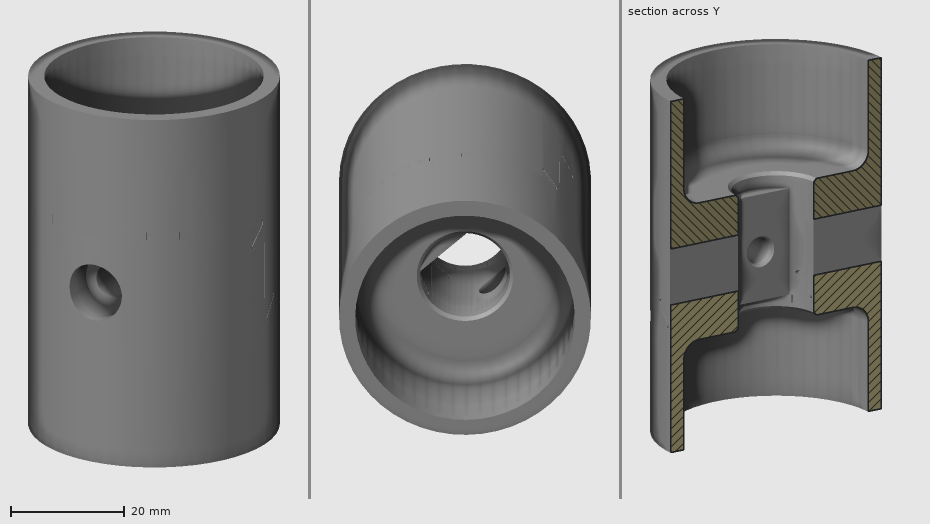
import cadquery as cq
import math

LENGTH = 65.5
OUTER_RADIUS = 44.45 / 2
MID_HEIGHT = LENGTH / 2

SOCKET_RADIUS = 19.4
SOCKET_DEPTH = 20.0
SOCKET_FILLET = 3.2
SOCKET_FLOOR = LENGTH - SOCKET_DEPTH

BORE_RADIUS = 7.9
BORE_CHAMFER = 0.6
FLAT_OFFSET = 5.05

STEP_HEIGHT = 9.9
SHOULDER_TOP = MID_HEIGHT + STEP_HEIGHT
SHOULDER_BOTTOM = MID_HEIGHT - STEP_HEIGHT
HOOK_SIZE = 4.7
JOINT_GAP = 0.1
TIP_FILLET = 0.6
ROOT_FILLET = 0.45

TAB_HEIGHT = 1.65
TAB_WIDTH = 5.6
TAB_ANGLE = 57.5
SLOT_CLEARANCE = 0.1

SCREW_HEIGHT = 31.95
HEAD_RADIUS = 5.25
HEAD_SEAT_OFFSET = 15.5
CLEARANCE_RADIUS = 3.15
TAP_RADIUS = 2.5
TAP_MOUTH_RADIUS = 2.9
TAP_DEPTH = 7.85
DRILL_POINT_ANGLE = 118


def turned_about_x(body):
    """Give a body half a turn about the X-direction line through the middle of the tube."""
    return body.rotate((0, 0, MID_HEIGHT), (1, 0, MID_HEIGHT), 180)


def socket_cutter():
    """The round-bottomed socket at the upper end."""
    cutter = cq.Workplane("XY", origin=(0, 0, SOCKET_FLOOR)).circle(SOCKET_RADIUS).extrude(SOCKET_DEPTH)
    return cutter.faces("<Z").edges().fillet(SOCKET_FILLET)


def bore_cutter():
    """The straight bore with a chamfer at the floor of each socket."""
    mouth_radius = BORE_RADIUS + BORE_CHAMFER
    bore = cq.Workplane("XY").circle(BORE_RADIUS).extrude(LENGTH)
    mouth = (
        cq.Workplane("XY", origin=(0, 0, SOCKET_FLOOR))
        .circle(mouth_radius)
        .workplane(offset=-BORE_CHAMFER)
        .circle(BORE_RADIUS)
        .loft()
    )
    return bore.union(mouth).union(turned_about_x(mouth))


def flatted_bore_cutter():
    """The bore, less the segment behind the flat between the two shoulders."""
    behind_flat = cq.Workplane("XY", origin=(0, FLAT_OFFSET, SHOULDER_BOTTOM)).box(
        2 * BORE_RADIUS, BORE_RADIUS, 2 * STEP_HEIGHT, centered=(True, False, False)
    )
    return bore_cutter().cut(behind_flat)


def hooked_space():
    """The space below the hooked joint surface, which the lower half fills."""
    wall = -JOINT_GAP / 2
    upper_tip = (wall, SHOULDER_TOP)
    upper_root = (wall - HOOK_SIZE, SHOULDER_TOP - HOOK_SIZE)
    lower_tip = (wall + HOOK_SIZE, SHOULDER_BOTTOM + HOOK_SIZE)
    lower_root = (wall, SHOULDER_BOTTOM)
    outline = [
        (-LENGTH, 0),
        (-LENGTH, SHOULDER_TOP),
        upper_tip,
        upper_root,
        (wall, SHOULDER_TOP - HOOK_SIZE),
        (wall, SHOULDER_BOTTOM + HOOK_SIZE),
        lower_tip,
        lower_root,
        (LENGTH, SHOULDER_BOTTOM),
        (LENGTH, 0),
    ]
    space = cq.Workplane("YZ").polyline(outline).close().extrude(OUTER_RADIUS, both=True)
    for corners, radius in (
        ((upper_tip, lower_tip), TIP_FILLET),
        ((upper_root, lower_root), ROOT_FILLET),
    ):
        for y, z in corners:
            space = space.edges(cq.selectors.NearestToPointSelector((0, y, z))).fillet(radius)
    return space


def shoulder_bars(width):
    """Two radial bars standing on the upper shoulder, on the -Y side."""
    bars = cq.Workplane("XY")
    for angle in (-TAB_ANGLE, TAB_ANGLE - 180):
        bar = (
            cq.Workplane("XY", origin=(0, 0, SHOULDER_TOP))
            .box(OUTER_RADIUS + HOOK_SIZE, width, TAB_HEIGHT, centered=(False, True, False))
            .rotate((0, 0, 0), (0, 0, 1), angle)
        )
        bars = bars.union(bar)
    return bars


def plain_half():
    """The lower half with socket, joint, tabs and slots, before the bore and screw holes."""
    slots = turned_about_x(shoulder_bars(TAB_WIDTH + 2 * SLOT_CLEARANCE))
    space = hooked_space().union(shoulder_bars(TAB_WIDTH)).cut(slots)
    tube = cq.Workplane("XY").circle(OUTER_RADIUS).extrude(LENGTH)
    return tube.cut(socket_cutter()).cut(turned_about_x(socket_cutter())).intersect(space)


def screw_hole_cutter():
    """Clearance hole with a counterbore for the screw head, open to the -Y side."""
    clearance = cq.Workplane("XZ", origin=(0, 0, SCREW_HEIGHT)).circle(CLEARANCE_RADIUS).extrude(OUTER_RADIUS)
    head = (
        cq.Workplane("XZ", origin=(0, -HEAD_SEAT_OFFSET, SCREW_HEIGHT))
        .circle(HEAD_RADIUS)
        .extrude(OUTER_RADIUS - HEAD_SEAT_OFFSET)
    )
    return clearance.union(head)


def tapping_hole_cutter():
    """Blind hole into the flat, with a chamfered mouth and a conical drill point."""
    mouth_chamfer = TAP_MOUTH_RADIUS - TAP_RADIUS
    bottom = FLAT_OFFSET + TAP_DEPTH
    point_depth = TAP_RADIUS / math.tan(math.radians(DRILL_POINT_ANGLE / 2))
    return (
        cq.Workplane("XY", origin=(0, 0, SCREW_HEIGHT))
        .moveTo(0, FLAT_OFFSET)
        .lineTo(TAP_MOUTH_RADIUS, FLAT_OFFSET)
        .lineTo(TAP_RADIUS, FLAT_OFFSET + mouth_chamfer)
        .lineTo(TAP_RADIUS, bottom)
        .lineTo(0, bottom + point_depth)
        .close()
        .revolve(360, (0, 0, 0), (0, 1, 0))
    )


lower_half = plain_half().cut(bore_cutter()).cut(screw_hole_cutter())
upper_half = turned_about_x(plain_half()).cut(flatted_bore_cutter()).cut(tapping_hole_cutter())

result = cq.Compound.makeCompound([lower_half.val(), upper_half.val()])